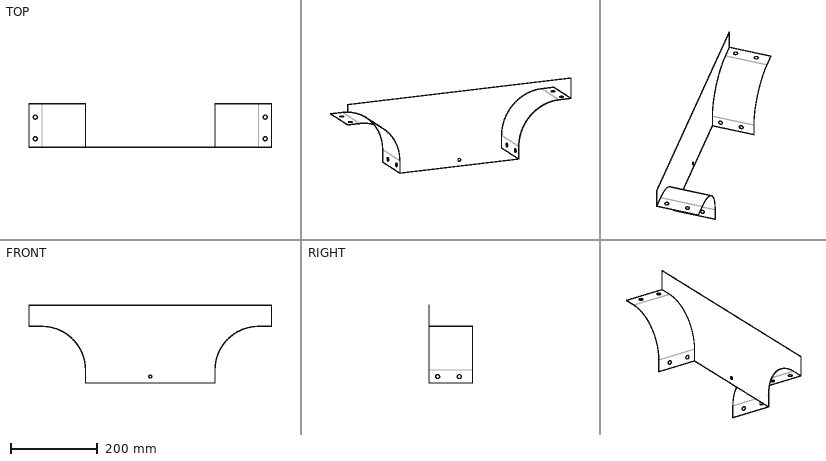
import cadquery as cq
import math

length = 560.0
depth = 101.0
height = 180.0
thickness = 0.8
bend_radius = 100.0
tab = 30.0
web_hole_diameter = 7.0
tab_hole_diameter = 9.0
tab_hole_edge = 15.0
tab_hole_first = 20.0
tab_hole_pitch = 50.0
web_hole_height = 15.0

half_length = length / 2
foot_half_width = half_length - tab - bend_radius
shoulder_height = tab + bend_radius
bend_center_x = half_length - tab
tab_hole_depths = (tab_hole_first, tab_hole_first + tab_hole_pitch)


def arc_middle(side, radius):
    """Point halfway round a bend, measured from its centre at the top of the foot tab."""
    reach = radius * math.sqrt(0.5)
    return side * (bend_center_x - reach), tab + reach


def extrude_back(profile, distance):
    """Extrude an XZ profile from the front face (Y = 0) towards +Y."""
    return profile.extrude(-distance)


def make_web():
    """Flat front plate with a concave quarter round at each lower corner."""
    profile = (
        cq.Workplane("XZ")
        .moveTo(-foot_half_width, 0)
        .lineTo(foot_half_width, 0)
        .lineTo(foot_half_width, tab)
        .threePointArc(arc_middle(1, bend_radius), (bend_center_x, shoulder_height))
        .lineTo(half_length, shoulder_height)
        .lineTo(half_length, height)
        .lineTo(-half_length, height)
        .lineTo(-half_length, shoulder_height)
        .lineTo(-bend_center_x, shoulder_height)
        .threePointArc(arc_middle(-1, bend_radius), (-foot_half_width, tab))
        .close()
    )
    return extrude_back(profile, thickness)


def make_flange(side):
    """Bent strip following the web's lower edge: foot tab, quarter round, end tab."""
    outer_radius = bend_radius + thickness
    inner_foot = foot_half_width - thickness
    upper_face = shoulder_height + thickness
    profile = (
        cq.Workplane("XZ")
        .moveTo(side * foot_half_width, 0)
        .lineTo(side * foot_half_width, tab)
        .threePointArc(arc_middle(side, bend_radius), (side * bend_center_x, shoulder_height))
        .lineTo(side * half_length, shoulder_height)
        .lineTo(side * half_length, upper_face)
        .lineTo(side * bend_center_x, upper_face)
        .threePointArc(arc_middle(side, outer_radius), (side * inner_foot, tab))
        .lineTo(side * inner_foot, 0)
        .close()
    )
    return extrude_back(profile, depth)


def make_tab_holes():
    """Vertical holes through the end tabs and sideways holes through the foot tabs."""
    end_points = [
        (side * (half_length - tab_hole_edge), y) for side in (-1, 1) for y in tab_hole_depths
    ]
    end_holes = cq.Workplane("XY").pushPoints(end_points).circle(tab_hole_diameter / 2).extrude(height)
    foot_points = [(y, tab_hole_edge) for y in tab_hole_depths]
    foot_holes = (
        cq.Workplane("YZ").pushPoints(foot_points).circle(tab_hole_diameter / 2)
        .extrude(half_length, both=True)
    )
    return end_holes.union(foot_holes)


def make_web_hole():
    """Single hole through the web, centred near its lower edge."""
    profile = cq.Workplane("XZ").center(0, web_hole_height).circle(web_hole_diameter / 2)
    return extrude_back(profile, thickness)


result = make_web()
for side in (-1, 1):
    result = result.union(make_flange(side))
result = result.cut(make_tab_holes()).cut(make_web_hole())